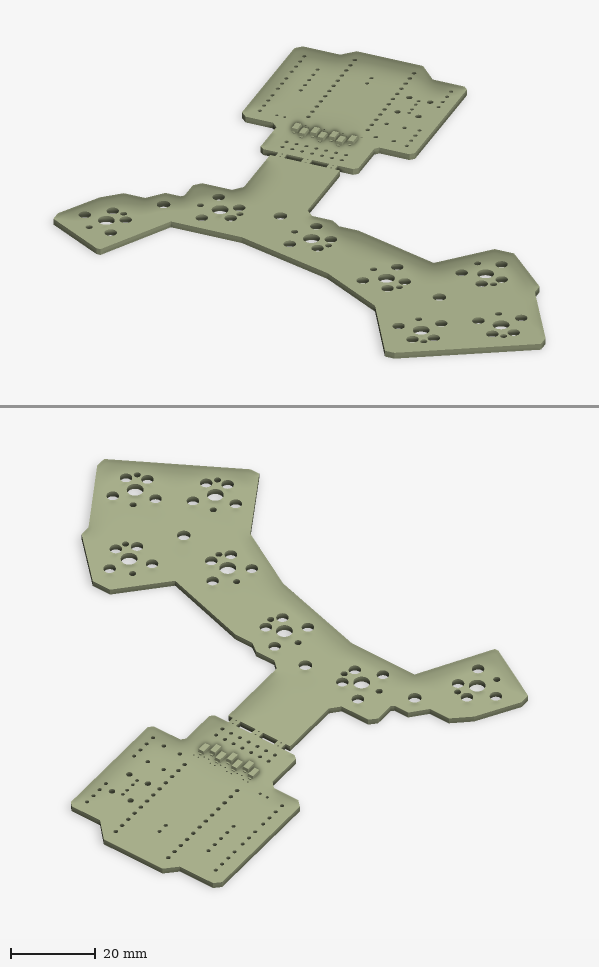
import cadquery as cq
import math


overall_height = 2.7
diode_height = 1.09
board_thickness = overall_height - diode_height

controller_pin_count = 12
controller_row_length = 27.9
pitch = controller_row_length / (controller_pin_count - 1)
half_pitch = pitch / 2
center_x = -19.3

via_diameter = 0.4
fine_pin_diameter = 0.75
connector_pin_diameter = 0.92
header_pin_diameter = 1.0
button_pin_diameter = 1.09
controller_pin_diameter = 1.1
jack_peg_diameter = 1.5
key_peg_diameter = 1.7
key_pin_diameter = 3.0
mounting_diameter = 3.2
key_post_diameter = 4.0

controller_bottom_y = 11.6
controller_outline = [
    (-27.9, 61.0), (-10.9, 61.0), (-6.4, 56.3), (1.8, 56.3), (2.8, 55.3),
    (2.8, 24.0), (1.8, 23.0), (-5.9, 23.0), (-6.8, 22.0), (-6.8, 12.5),
    (-7.8, controller_bottom_y), (-30.8, controller_bottom_y),
    (-31.9, 12.5), (-31.9, 22.0), (-33.4, 23.5),
    (-40.5, 23.5), (-42.0, 25.1), (-42.0, 56.6), (-40.5, 58.1), (-30.8, 58.1),
]

strap_width = 17.9
strap_left = center_x - strap_width / 2
strap_right = center_x + strap_width / 2
strap_top_y = 9.9
key_outline = [
    (strap_left, strap_top_y), (strap_right, strap_top_y),
    (strap_right, -9.7), (-8.3, -11.6), (-3.1, -11.6), (-0.6, -13.5),
    (4.2, -13.5), (26.4, -20.0), (37.1, -8.6), (42.1, -8.6), (53.5, -20.0),
    (53.5, -22.8), (64.0, -41.0), (64.0, -43.8), (33.8, -61.0), (31.4, -61.0),
    (21.2, -43.3), (5.1, -34.0), (-19.8, -27.0), (-38.0, -27.0),
    (-48.4, -45.0), (-49.4, -45.0), (-64.0, -36.7), (-64.0, -34.0),
    (-57.7, -23.5), (-53.2, -19.6), (-47.7, -19.6), (-44.3, -15.6),
    (-40.3, -15.6), (-39.7, -15.0), (-39.7, -9.9), (-38.0, -8.2),
    (-30.3, -8.2), (strap_left, -5.9),
]

tab_width = 2.2
tab_spacing = 6.5
tab_hole_spacing = 1.3
tab_mid_y = (controller_bottom_y + strap_top_y) / 2
tab_length = controller_bottom_y - strap_top_y
tab_overlap = 0.1

keys = [
    (-52.2, -32.5, 60), (-29.5, -17.5, 0), (-4.5, -21.1, -15), (18.8, -30.7, -30),
    (39.5, -19.7, -45), (52.0, -39.5, -60), (35.6, -49.1, -60),
]
key_peg_offset = 2 * pitch
key_close_pair_x = 1.5 * pitch

mounting_points = [(-42.6, -20.6), (-15.2, -14.6), (33.7, -33.7)]

controller_mid_x = -19.2
controller_first_pin_y = 57.2
controller_row_spacing = 6 * pitch

left_header_x = -38.4
right_header_x = -0.3
headers = [
    (left_header_x, 54.1, 4), (left_header_x, 43.3, 3), (left_header_x, 35.0, 4),
    (-33.1, 49.8, 5), (-20.0, 51.2, 2),
    (right_header_x, 53.0, 4), (right_header_x, 33.9, 4),
]

strap_header_columns = 7
strap_header_center = (-19.5, 15.6)

jack_center = (-5.6, 43.1)
jack_peg_spacing = (5.4, 7.0)
jack_outer_pin_spacing = 5.8
jack_inner_pin_spacing = 2.3

button_center = (-6.3, 30.3)
button_pin_spacing = (4.6, 6.5)

battery_pin_center = (-32.9, 27.0)
battery_pin_spacing = 2.0

diode_count = 7
diode_row_length = 14.3
diode_pitch = diode_row_length / (diode_count - 1)
diode_stagger = 1.3
diode_row_x = -19.8
diode_upper_y = 22.8
diode_body_width = 1.7
diode_body_length = 2.8
diode_draft = 8
lead_width = 0.7
lead_length = 3.6
lead_thickness = 0.3

via_upper_y = 25.5
via_stagger = 0.9
via_spacing = 1.3


def pin_column(x, top_y, count):
    """Points of a vertical row of pins, starting from the top one."""
    return [(x, top_y - i * pitch) for i in range(count)]


def rectangle_corners(center, spacing):
    """The four corners of a rectangle of hole centres."""
    return [
        (center[0] + sx * spacing[0] / 2, center[1] + sy * spacing[1] / 2)
        for sx in (-1, 1)
        for sy in (-1, 1)
    ]


def staggered_row(mid_x, upper_y, stagger):
    """One point per diode, every second one lower by the stagger."""
    return [
        (mid_x + (i - (diode_count - 1) / 2) * diode_pitch, upper_y - (i % 2) * stagger)
        for i in range(diode_count)
    ]


def place_on_key(key, local_points):
    """Move points from a key's own axes to the board."""
    key_x, key_y, rotation = key
    c = math.cos(math.radians(rotation))
    s = math.sin(math.radians(rotation))
    return [(key_x + x * c - y * s, key_y + x * s + y * c) for x, y in local_points]


def drill(board, points, diameter):
    """Cut round holes through the board."""
    tools = (
        cq.Workplane("XY")
        .pushPoints(points)
        .circle(diameter / 2)
        .extrude(board_thickness)
    )
    return board.cut(tools)


def make_blank():
    """Controller area and key area joined by the break-off tabs."""
    controller = cq.Workplane("XY").polyline(controller_outline).close().extrude(board_thickness)
    key_area = cq.Workplane("XY").polyline(key_outline).close().extrude(board_thickness)
    tabs = (
        cq.Workplane("XY")
        .pushPoints([(center_x + i * tab_spacing, tab_mid_y) for i in (-1, 0, 1)])
        .rect(tab_width, tab_length + 2 * tab_overlap)
        .extrude(board_thickness)
    )
    return controller.union(key_area).union(tabs)


def drill_tabs(board):
    points = [
        (center_x + i * tab_spacing, tab_mid_y + side * tab_hole_spacing / 2)
        for i in (-1, 0, 1)
        for side in (-1, 1)
    ]
    return drill(board, points, via_diameter)


def drill_keys(board):
    """Centre post, two alignment pegs and two pairs of pin holes for every key."""
    wide_pair = [(-pitch, side * key_peg_offset) for side in (-1, 1)]
    close_pair = [(key_close_pair_x, side * pitch) for side in (-1, 1)]
    pegs = [(side * key_peg_offset, 0) for side in (-1, 1)]
    for key in keys:
        board = drill(board, place_on_key(key, [(0, 0)]), key_post_diameter)
        board = drill(board, place_on_key(key, pegs), key_peg_diameter)
        board = drill(board, place_on_key(key, wide_pair + close_pair), key_pin_diameter)
    return board


def drill_controller_pins(board):
    points = []
    for side in (-1, 1):
        x = controller_mid_x + side * controller_row_spacing / 2
        points += pin_column(x, controller_first_pin_y, controller_pin_count)
    return drill(board, points, controller_pin_diameter)


def drill_headers(board):
    points = []
    for x, top_y, count in headers:
        points += pin_column(x, top_y, count)
    return drill(board, points, header_pin_diameter)


def drill_strap_header(board):
    mid_x, mid_y = strap_header_center
    points = [
        (mid_x + (i - (strap_header_columns - 1) / 2) * pitch, mid_y + side * half_pitch)
        for i in range(strap_header_columns)
        for side in (-1, 1)
    ]
    return drill(board, points, header_pin_diameter)


def drill_jack(board):
    board = drill(board, rectangle_corners(jack_center, jack_peg_spacing), jack_peg_diameter)
    pins = [
        (jack_center[0], jack_center[1] + side * spacing / 2)
        for spacing in (jack_outer_pin_spacing, jack_inner_pin_spacing)
        for side in (-1, 1)
    ]
    return drill(board, pins, connector_pin_diameter)


def drill_button(board):
    return drill(board, rectangle_corners(button_center, button_pin_spacing), button_pin_diameter)


def drill_battery_pins(board):
    x, y = battery_pin_center
    points = [(x + side * battery_pin_spacing / 2, y) for side in (-1, 1)]
    return drill(board, points, fine_pin_diameter)


def drill_vias(board):
    points = [
        (x + side * via_spacing / 2, y)
        for x, y in staggered_row(center_x, via_upper_y, via_stagger)
        for side in (-1, 1)
    ]
    return drill(board, points, via_diameter)


def make_board():
    board = make_blank()
    board = drill_tabs(board)
    board = drill_keys(board)
    board = drill(board, mounting_points, mounting_diameter)
    board = drill_controller_pins(board)
    board = drill_headers(board)
    board = drill_strap_header(board)
    board = drill_jack(board)
    board = drill_button(board)
    board = drill_battery_pins(board)
    return drill_vias(board)


def make_diode(x, y):
    """A tapered body sitting on a flat lead strip that sticks out at both ends."""
    leads = (
        cq.Workplane("XY", origin=(x, y, board_thickness))
        .rect(lead_width, lead_length)
        .extrude(lead_thickness)
    )
    body = (
        cq.Workplane("XY", origin=(x, y, board_thickness + lead_thickness))
        .rect(diode_body_width, diode_body_length)
        .extrude(diode_height - lead_thickness, taper=diode_draft)
    )
    return leads.union(body)


board = make_board()
diodes = [make_diode(x, y) for x, y in staggered_row(diode_row_x, diode_upper_y, diode_stagger)]

result = cq.Compound.makeCompound([board.val(), *[diode.val() for diode in diodes]])